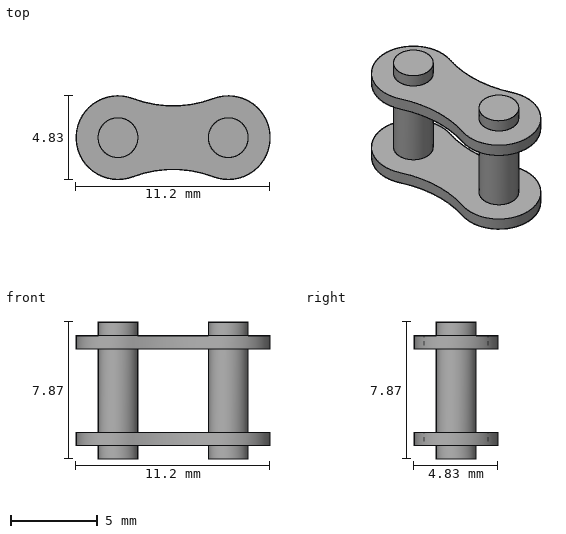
import cadquery as cq
import math

length = 11.17
plate_width = 4.83
pin_length = 7.87

pin_diameter = 2.29
plate_thickness = 0.77
pin_overhang = 0.77
waist_width = 3.66

end_radius = plate_width / 2
half_waist = waist_width / 2
half_pitch = length / 2 - end_radius
pin_pitch = 2 * half_pitch

waist_radius = (half_pitch**2 + half_waist**2 - end_radius**2) / (2 * (end_radius - half_waist))
waist_center_y = waist_radius + half_waist
center_distance = math.hypot(half_pitch, waist_center_y)
tangent_x = half_pitch * waist_radius / center_distance
tangent_y = waist_center_y * end_radius / center_distance


def link_plate(bottom_z):
    """Waisted plate with a round end about each pin."""
    return (
        cq.Workplane("XY")
        .workplane(offset=bottom_z)
        .moveTo(-tangent_x, tangent_y)
        .threePointArc((0, half_waist), (tangent_x, tangent_y))
        .threePointArc((length / 2, 0), (tangent_x, -tangent_y))
        .threePointArc((0, -half_waist), (-tangent_x, -tangent_y))
        .threePointArc((-length / 2, 0), (-tangent_x, tangent_y))
        .close()
        .extrude(plate_thickness)
    )


result = (
    cq.Workplane("XY")
    .workplane(offset=-pin_length / 2)
    .rarray(pin_pitch, 0.11, 2, 1)
    .circle(pin_diameter / 2)
    .extrude(pin_length)
)

lower_plate_z = -pin_length / 2 + pin_overhang
upper_plate_z = pin_length / 2 - pin_overhang - plate_thickness
for plate_z in (lower_plate_z, upper_plate_z):
    result = result.union(link_plate(plate_z))